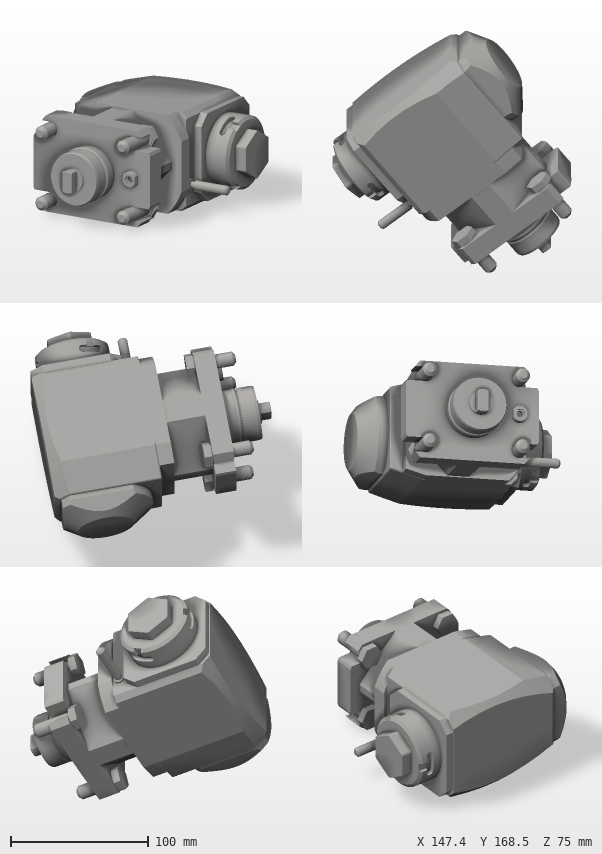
import cadquery as cq
import math


CASE_LEFT = -48.2
CASE_RIGHT = 47.2
CASE_FRONT = 55.0
CASE_BACK = 134.0
CASE_HEIGHT = 75.0
CASE_HALF_HEIGHT = CASE_HEIGHT / 2
TAPER_START = -24.0
TAPER_ANGLE = 15
TAPER_SLOPE = math.tan(math.radians(TAPER_ANGLE))
RIGHT_CHAMFER = 4.2
BACK_LEFT_CHAMFER = 3.7
LEFT_EDGE_CHAMFER = 0.7
FRONT_EDGE_CHAMFER = 0.8
CROWN_CENTER_X = 9.5
CROWN_RADIUS = 128.0
CROWN_BACK = 129.5

PLATE_THICKNESS = 15.3
PLATE_HALF_LENGTH = 49.9
PLATE_HALF_HEIGHT = 36.5
ARM_TIP_X = 42.8
ARM_FLAT_X = 39.1
EAR_LENGTH = 1.0
EAR_HEIGHT = 2.4

BOLT_X = 34.9
BOLT_Z = 26.8
BOLT_RADIUS = 5.2
BOLT_REACH = 15.2
BOLT_TIP_CHAMFER = 2.4
BOLT_HEAD_FLATS = 16.2
BOLT_HEAD_HEIGHT = 6.2
BOLT_SEAT_RADIUS = 7.2
BOLT_SEAT_HEIGHT = 0.8
SLOT_WIDTH = 11.0
SLOT_HALF_WIDTH = SLOT_WIDTH / 2

SHOULDER_BACK = CASE_FRONT
SHOULDER_FRONT = 44.0
NECK_LEFT = -39.0
NECK_RIGHT = 41.8
NECK_CREST_HALF = 8.1
SHOULDER_RADIUS = 53.4

SHANK_RADIUS = 20.0
SHANK_END = 25.0
SHANK_END_CHAMFER_DEPTH = 0.7
SHANK_END_CHAMFER_LENGTH = 2.0
ROOT_RADIUS = 19.5
ROOT_END = 1.0
ROOT_CONE_END = 2.4
RING_GROOVE_START = 8.1
GROOVE_EDGE_CHAMFER = 0.5
RING_GROOVE_END = 12.1
RING_GROOVE_RADIUS = 18.5
RING_OFFSET = 9.6
RING_SECTION_RADIUS = 1.5
RING_OUTER_RADIUS = 20.5
TANG_RADIUS = 8.6
TANG_COLLAR_END = 26.6
TANG_END = 34.5
TANG_HALF_WIDTH = 4.0
TANG_CHAMFER = 0.5

FITTING_X = BOLT_X
FITTING_RADIUS = 5.9
FITTING_FLATS = 10.1
FITTING_HEIGHT = 5.2
FITTING_RIM_CHAMFER = 0.5
FITTING_HEX_FLATS = 6.0
FITTING_HEX_DEPTH = 2.0
FITTING_BORE_RADIUS = 2.4

SPINDLE_Y = 100.0
CAP_FACE = -67.0
CAP_RIM = -55.0
CAP_FACE_RADIUS = 21.0
CAP_RADIUS = 37.4
CAP_HALF_HEIGHT = 29.3
CAP_TAPER_START = -51.4
CAP_BACK = 129.5
COVER_FACE = 53.0
COVER_SIDE = 66.9
COVER_CHAMFER = 8.5

PIPE_Y = 60.5
PIPE_Z = -17.7
PIPE_RADIUS = 3.5
PIPE_START = 52.4
PIPE_END = 80.2
PIPE_CHAMFER = 1.3
PIPE_NECK_RADIUS = 2.5
PIPE_COLLAR_RADIUS = 4.4
PIPE_COLLAR_END = 48.5

NUT_FACE = 72.0
NUT_RADIUS = 27.5
NUT_CHAMFER_LENGTH = 1.9
NUT_CHAMFER_DEPTH = 2.5
HEX_END = 80.4
HEX_FLATS = 32.2
HEX_ROUND_RADIUS = 18.2
HEX_END_CHAMFER = 0.3
SPANNER_SLOT_COUNT = 3
SPANNER_SLOT_X = 62.9
SPANNER_SLOT_WIDTH = 5.4
SPANNER_SLOT_LENGTH = 19.7
SPANNER_SLOT_DEPTH = 3.4
SPANNER_CHANNEL_WIDTH = 6.5
SPANNER_CHANNEL_DEPTH = 2.7
FIRST_SPANNER_SLOT_ANGLE = 30


def from_front(y):
    """Sketch plane at Y = y with X right and Z up; extrusions run toward -Y."""
    return cq.Workplane("XZ", origin=(0, y, 0))


def along_x(x, y, z):
    """Sketch plane square to X at the given point; extrusions run toward +X."""
    return cq.Workplane("YZ", origin=(x, y, z))


def tapered_profile(left, right):
    """Z outline of the case in X, with the left end tapering symmetrically."""
    left_half = CASE_HALF_HEIGHT - (TAPER_START - left) * TAPER_SLOPE
    return [
        (left, -left_half),
        (TAPER_START, -CASE_HALF_HEIGHT),
        (right, -CASE_HALF_HEIGHT),
        (right, CASE_HALF_HEIGHT),
        (TAPER_START, CASE_HALF_HEIGHT),
        (left, left_half),
    ]


def make_case():
    length = CASE_BACK - CASE_FRONT
    case = from_front(CASE_BACK).polyline(tapered_profile(CASE_LEFT, CASE_RIGHT)).close().extrude(length)
    case = case.edges("|Y and >X").chamfer(RIGHT_CHAMFER)
    case = case.edges("|Z and <X and >Y").chamfer(BACK_LEFT_CHAMFER)
    case = case.intersect(make_crown())
    case = case.faces("<X").edges().chamfer(LEFT_EDGE_CHAMFER)
    tapered_front_edges = case.faces("<Y").edges("not (|X or |Z)")
    return tapered_front_edges.chamfer(FRONT_EDGE_CHAMFER)


def make_crown():
    """Pair of 45 degree cones whose walls slope the upper and lower back edges."""
    center_y = CROWN_BACK - CROWN_RADIUS
    base_radius = CROWN_RADIUS + CASE_HALF_HEIGHT
    half_profile = [
        (0, -CASE_HALF_HEIGHT),
        (CROWN_RADIUS, -CASE_HALF_HEIGHT),
        (base_radius, 0),
        (CROWN_RADIUS, CASE_HALF_HEIGHT),
        (0, CASE_HALF_HEIGHT),
    ]
    crown = cq.Workplane("XZ").polyline(half_profile).close().revolve(360, (0, 0), (0, 1))
    return crown.translate((CROWN_CENTER_X, center_y, 0))


def make_shoulder():
    depth = SHOULDER_BACK - SHOULDER_FRONT
    profile = tapered_profile(NECK_LEFT, PLATE_HALF_LENGTH)
    shoulder = from_front(SHOULDER_BACK).polyline(profile).close().extrude(depth)
    return shoulder.intersect(from_front(SHOULDER_BACK).circle(SHOULDER_RADIUS).extrude(depth))


def make_neck():
    """Diamond section with 45 degree flanks, cut off flat on all four corners."""
    left_half = PLATE_HALF_HEIGHT - (-NECK_CREST_HALF - NECK_LEFT)
    right_half = PLATE_HALF_HEIGHT - (NECK_RIGHT - NECK_CREST_HALF)
    profile = [
        (NECK_LEFT, -left_half),
        (-NECK_CREST_HALF, -PLATE_HALF_HEIGHT),
        (NECK_CREST_HALF, -PLATE_HALF_HEIGHT),
        (NECK_RIGHT, -right_half),
        (NECK_RIGHT, right_half),
        (NECK_CREST_HALF, PLATE_HALF_HEIGHT),
        (-NECK_CREST_HALF, PLATE_HALF_HEIGHT),
        (NECK_LEFT, left_half),
    ]
    return from_front(SHOULDER_FRONT).polyline(profile).close().extrude(SHOULDER_FRONT - PLATE_THICKNESS)


def bolt_positions():
    return [(side * BOLT_X, level * BOLT_Z) for side in (-1, 1) for level in (-1, 1)]


def make_plate():
    slot_top = BOLT_Z + SLOT_HALF_WIDTH
    slot_bottom = BOLT_Z - SLOT_HALF_WIDTH
    quarter = [
        (0, 0),
        (PLATE_HALF_LENGTH, 0),
        (PLATE_HALF_LENGTH, slot_bottom - EAR_HEIGHT),
        (PLATE_HALF_LENGTH - EAR_LENGTH, slot_bottom),
        (ARM_TIP_X, slot_bottom),
        (ARM_TIP_X, slot_top),
        (ARM_FLAT_X, PLATE_HALF_HEIGHT),
        (0, PLATE_HALF_HEIGHT),
    ]
    corner = from_front(PLATE_THICKNESS).polyline(quarter).close().extrude(PLATE_THICKNESS)
    half = corner.union(corner.mirror("XY"))
    plate = half.union(half.mirror("YZ"))
    for x, z in bolt_positions():
        outward = math.copysign(BOLT_X, x)
        slot = from_front(PLATE_THICKNESS).center(x, z).circle(SLOT_HALF_WIDTH).extrude(PLATE_THICKNESS)
        opening = (
            from_front(PLATE_THICKNESS)
            .center(x + outward / 2, z)
            .rect(BOLT_X, 2 * SLOT_HALF_WIDTH)
            .extrude(PLATE_THICKNESS)
        )
        plate = plate.cut(slot).cut(opening)
    return plate


def make_bolt(x, z):
    """Hexagon bolt with a round bearing face under its head."""
    head_back = PLATE_THICKNESS + BOLT_HEAD_HEIGHT
    corner_diameter = BOLT_HEAD_FLATS / math.cos(math.radians(30))
    head = from_front(head_back).center(x, z).polygon(6, corner_diameter)
    head = head.extrude(BOLT_HEAD_HEIGHT - BOLT_SEAT_HEIGHT)
    seat = from_front(head_back).center(x, z).circle(BOLT_SEAT_RADIUS).extrude(BOLT_HEAD_HEIGHT)
    rod = from_front(PLATE_THICKNESS).center(x, z).circle(BOLT_RADIUS).extrude(PLATE_THICKNESS + BOLT_REACH)
    rod = rod.faces("<Y").chamfer(BOLT_TIP_CHAMFER)
    return head.union(seat).union(rod)


def make_shank():
    half_profile = [
        (0, 0),
        (ROOT_RADIUS, 0),
        (ROOT_RADIUS, -ROOT_END),
        (SHANK_RADIUS, -ROOT_CONE_END),
        (SHANK_RADIUS, -RING_GROOVE_START),
        (RING_GROOVE_RADIUS, -RING_GROOVE_START),
        (RING_GROOVE_RADIUS, -RING_GROOVE_END),
        (SHANK_RADIUS - GROOVE_EDGE_CHAMFER, -RING_GROOVE_END),
        (SHANK_RADIUS, -RING_GROOVE_END - GROOVE_EDGE_CHAMFER),
        (SHANK_RADIUS, SHANK_END_CHAMFER_LENGTH - SHANK_END),
        (SHANK_RADIUS - SHANK_END_CHAMFER_DEPTH, -SHANK_END),
        (TANG_RADIUS, -SHANK_END),
        (TANG_RADIUS, -TANG_COLLAR_END),
        (0, -TANG_COLLAR_END),
    ]
    shank = cq.Workplane("XY").polyline(half_profile).close().revolve(360, (0, 0), (0, 1))
    ring_radius = RING_OUTER_RADIUS - RING_SECTION_RADIUS
    ring = (
        cq.Workplane("XY")
        .center(ring_radius, -RING_OFFSET)
        .circle(RING_SECTION_RADIUS)
        .revolve(360, (-ring_radius, 0), (-ring_radius, 1))
    )
    return shank.union(ring).union(make_tang())


def make_tang():
    length = TANG_END - TANG_COLLAR_END
    tang = from_front(-TANG_COLLAR_END).rect(2 * TANG_HALF_WIDTH, 2 * TANG_RADIUS).extrude(length)
    tang = tang.intersect(from_front(-TANG_COLLAR_END).circle(TANG_RADIUS).extrude(length))
    return tang.faces("<Y").chamfer(TANG_CHAMFER)


def make_fitting():
    fitting = from_front(0).center(FITTING_X, 0).circle(FITTING_RADIUS).extrude(FITTING_HEIGHT)
    fitting = fitting.faces("<Y").chamfer(FITTING_RIM_CHAMFER)
    flats = from_front(0).center(FITTING_X, 0).rect(FITTING_FLATS, 2 * FITTING_RADIUS).extrude(FITTING_HEIGHT)
    hex_corner_diameter = FITTING_HEX_FLATS / math.cos(math.radians(30))
    hex_recess = (
        from_front(-FITTING_HEIGHT)
        .center(FITTING_X, 0)
        .polygon(6, hex_corner_diameter)
        .extrude(-FITTING_HEX_DEPTH)
    )
    bore = from_front(0).center(FITTING_X, 0).circle(FITTING_BORE_RADIUS).extrude(FITTING_HEIGHT)
    return fitting.intersect(flats).cut(hex_recess).cut(bore)


def make_cap():
    """Coned end cap, trimmed flat at the back and by tapering planes above and below."""
    half_profile = [
        (CASE_LEFT, 0),
        (CASE_LEFT, CAP_RADIUS),
        (CAP_RIM, CAP_RADIUS),
        (CAP_FACE, CAP_FACE_RADIUS),
        (CAP_FACE, 0),
    ]
    cap = cq.Workplane("XY").polyline(half_profile).close().revolve(360, (0, 0), (1, 0))
    cap = cap.translate((0, SPINDLE_Y, 0))
    face_half = CAP_HALF_HEIGHT - (CAP_TAPER_START - CAP_FACE) * TAPER_SLOPE
    trim = [
        (CAP_FACE, -face_half),
        (CAP_TAPER_START, -CAP_HALF_HEIGHT),
        (CASE_LEFT, -CAP_HALF_HEIGHT),
        (CASE_LEFT, CAP_HALF_HEIGHT),
        (CAP_TAPER_START, CAP_HALF_HEIGHT),
        (CAP_FACE, face_half),
    ]
    return cap.intersect(from_front(CAP_BACK).polyline(trim).close().extrude(CAP_BACK))


def make_cover():
    cover = along_x(CASE_RIGHT, SPINDLE_Y, 0).rect(COVER_SIDE, COVER_SIDE).extrude(COVER_FACE - CASE_RIGHT)
    return cover.edges("|X").chamfer(COVER_CHAMFER)


def make_pipe():
    neck = along_x(CASE_RIGHT, PIPE_Y, PIPE_Z).circle(PIPE_NECK_RADIUS).extrude(PIPE_START - CASE_RIGHT)
    collar = along_x(CASE_RIGHT, PIPE_Y, PIPE_Z).circle(PIPE_COLLAR_RADIUS).extrude(PIPE_COLLAR_END - CASE_RIGHT)
    tube = along_x(PIPE_START, PIPE_Y, PIPE_Z).circle(PIPE_RADIUS).extrude(PIPE_END - PIPE_START)
    tube = tube.faces(">X").chamfer(PIPE_CHAMFER)
    return neck.union(collar).union(tube)


def make_housing():
    housing = make_case().union(make_shoulder()).union(make_neck()).union(make_plate())
    for x, z in bolt_positions():
        housing = housing.union(make_bolt(x, z))
    for feature in (make_shank(), make_fitting(), make_cap(), make_cover(), make_pipe()):
        housing = housing.union(feature)
    return housing


def make_spanner_slot():
    """Cutter for one slot at the top of the nut: a round-ended slot with a curved floor,
    plus a flat-floored channel to the end face.
    """
    slot = (
        cq.Workplane("XY", origin=(SPANNER_SLOT_X, SPINDLE_Y, 0))
        .slot2D(SPANNER_SLOT_LENGTH, SPANNER_SLOT_WIDTH, 90)
        .extrude(NUT_RADIUS)
    )
    core_radius = NUT_RADIUS - SPANNER_SLOT_DEPTH
    core = along_x(COVER_FACE, SPINDLE_Y, 0).circle(core_radius).extrude(NUT_FACE - COVER_FACE)
    slot = slot.cut(core)
    channel_floor = NUT_RADIUS - SPANNER_CHANNEL_DEPTH
    channel = (
        cq.Workplane("XY", origin=(SPANNER_SLOT_X, SPINDLE_Y - SPANNER_CHANNEL_WIDTH / 2, channel_floor))
        .box(NUT_FACE - SPANNER_SLOT_X, SPANNER_CHANNEL_WIDTH, SPANNER_CHANNEL_DEPTH, centered=False)
    )
    return slot.union(channel)


def make_spindle():
    half_profile = [
        (COVER_FACE, 0),
        (COVER_FACE, NUT_RADIUS),
        (NUT_FACE - NUT_CHAMFER_LENGTH, NUT_RADIUS),
        (NUT_FACE, NUT_RADIUS - NUT_CHAMFER_DEPTH),
        (NUT_FACE, 0),
    ]
    nut = cq.Workplane("XY").polyline(half_profile).close().revolve(360, (0, 0), (1, 0))
    nut = nut.translate((0, SPINDLE_Y, 0))
    cutter = make_spanner_slot()
    axis_start = (0, SPINDLE_Y, 0)
    axis_end = (1, SPINDLE_Y, 0)
    for index in range(SPANNER_SLOT_COUNT):
        angle = FIRST_SPANNER_SLOT_ANGLE + index * 360 / SPANNER_SLOT_COUNT
        nut = nut.cut(cutter.rotate(axis_start, axis_end, angle))
    return nut.union(make_spindle_hex())


def make_spindle_hex():
    """Hexagon with corners up and down, its corners turned to a slightly smaller circle."""
    length = HEX_END - NUT_FACE
    corner_diameter = HEX_FLATS / math.cos(math.radians(30))
    hexagon = (
        along_x(NUT_FACE, SPINDLE_Y, 0)
        .transformed(rotate=(0, 0, 90))
        .polygon(6, corner_diameter)
        .extrude(length)
    )
    turned = along_x(NUT_FACE, SPINDLE_Y, 0).circle(HEX_ROUND_RADIUS).extrude(length)
    return hexagon.intersect(turned).faces(">X").chamfer(HEX_END_CHAMFER)


housing = make_housing()
spindle = make_spindle()
result = cq.Compound.makeCompound([*housing.solids().vals(), *spindle.solids().vals()])